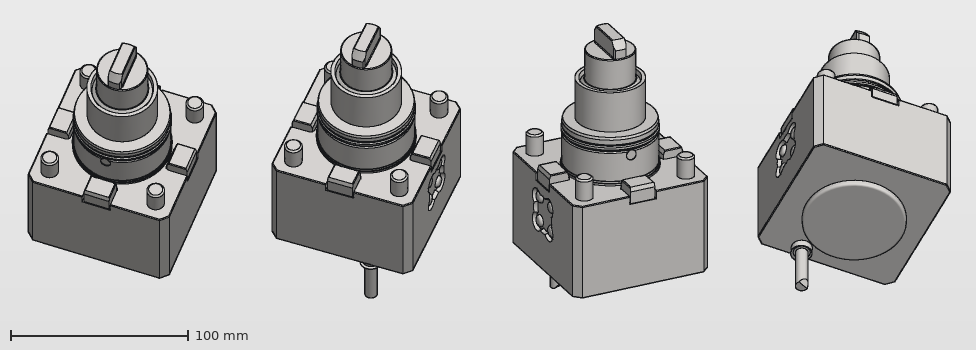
import cadquery as cq
import math


block_side = 85.0
block_height = 57.8
block_corner = 4.3
block_edge = 0.5

foot_radius = 28.3
foot_height = 1.2
foot_step_radius = 27.8
foot_step_height = 2.5
body_radius = 27.5
groove_radius = 26.4
groove_bottom = 78.5
groove_top = 83.1
groove_chamfer = 0.7
disc_top = 87.6
disc_chamfer = 0.5
disc_chamfer_height = 1.5
seal_radius = 28.0
seal_height = 2.8
seal_chamfer = 0.7

sleeve_radius = 20.0
sleeve_top = 112.3
dish_radius = 17.8
dish_floor_radius = 17.0
dish_depth = 2.6
lip_radius = 15.0
lip_drop = 0.5
shaft_radius = 14.5
shaft_top = 130.2
shaft_chamfer = 0.5

blade_top = 141.0
blade_width = 8.0
blade_radius = shaft_radius - shaft_chamfer
blade_top_radius = 10.7
blade_slope_height = 5.3
blade_side_length = 24.3
blade_end_width = 6.5
blade_edge = 0.5

hole_diameter = 6.0
hole_level = 75.4
hole_depth = 0.5

key_width = 15.2
key_outer = 42.0
key_outer_top = 41.0
key_inner = 29.7
key_inner_top = 30.7
key_rise = 5.0
key_slope_height = 2.6
key_edge = 0.5
key_seat_width = 16.9
key_seat_inner = 28.8
key_seat_depth = 5.0
key_seat_corner = 2.6

screw_diameter = 10.0
screw_spacing = 63.8
screw_rise = 13.0
screw_root = 1.7
screw_chamfer = 1.0

connector_level = 34.8
connector_center_radius = 11.5
lobe_radius = 5.7
contact_spacing = 15.0
recess_depth = 2.5
recess_slope = 0.7
contact_radius = 3.6
contact_tip_radius = 1.7
contact_root = 1.7

neck_radius = 24.7
neck_height = 3.1
cap_radius = 29.5
cap_bottom = -6.7
cap_round = 1.4

cable_radius = 3.6
cable_x = -16.4
cable_y = 35.7
cable_bottom = -31.5
cable_cut_offset = 1.0
cable_cut_height = 3.0
cable_cut_turn = 24
gland_radius = 6.0
gland_height = 4.0
washer_radius = 6.0
washer_thickness = 0.3
washer_shift = 0.7


def revolve(points):
    """Solid of revolution about Z from (radius, z) points."""
    return cq.Workplane("XZ").polyline(points).close().revolve(360, (0, 0, 0), (0, 1, 0))


def make_block():
    return (
        cq.Workplane("XY")
        .box(block_side, block_side, block_height, centered=(True, True, False))
        .edges("|Z").chamfer(block_corner)
        .faces("<Z or >Z").edges().chamfer(block_edge)
    )


def make_turned_body():
    return revolve([
        (0, 0),
        (foot_radius, 0),
        (foot_radius, block_height + foot_height),
        (foot_step_radius, block_height + foot_height),
        (foot_step_radius, block_height + foot_step_height),
        (body_radius, block_height + foot_step_height),
        (body_radius, groove_bottom - groove_chamfer),
        (body_radius - groove_chamfer, groove_bottom),
        (groove_radius, groove_bottom),
        (groove_radius, groove_top),
        (body_radius, groove_top),
        (body_radius, disc_top - disc_chamfer_height),
        (body_radius - disc_chamfer, disc_top),
        (sleeve_radius, disc_top),
        (sleeve_radius, sleeve_top),
        (dish_radius, sleeve_top),
        (dish_floor_radius, sleeve_top - dish_depth),
        (lip_radius, sleeve_top - lip_drop),
        (shaft_radius, sleeve_top - lip_drop),
        (shaft_radius, shaft_top - shaft_chamfer),
        (shaft_radius - shaft_chamfer, shaft_top),
        (0, shaft_top),
    ])


def make_seal():
    """Chamfered sealing ring in the middle of the groove."""
    middle = (groove_bottom + groove_top) / 2
    return (
        cq.Workplane("XY", origin=(0, 0, middle - seal_height / 2))
        .circle(seal_radius)
        .extrude(seal_height)
        .edges().chamfer(seal_chamfer)
    )


def make_blade():
    """Common volume of the blade's cross-section, its plan and a bevelled round."""
    height = blade_top - shaft_top
    half = blade_width / 2
    section = (
        cq.Workplane("XZ", origin=(0, 0, shaft_top))
        .moveTo(half + blade_edge, 0)
        .lineTo(half, blade_edge)
        .lineTo(half, height - blade_edge)
        .lineTo(half - blade_edge, height)
        .lineTo(0, height)
        .lineTo(0, 0)
        .close()
        .extrude(blade_radius, both=True)
    )
    section = section.union(section.mirror("YZ"))
    bevelled_round = revolve([
        (0, shaft_top),
        (blade_radius, shaft_top),
        (blade_radius, blade_top - blade_slope_height),
        (blade_top_radius, blade_top),
        (0, blade_top),
    ])

    wide = half + blade_edge
    side_end = blade_side_length / 2
    end_half = blade_end_width / 2
    end_y = math.sqrt(blade_radius ** 2 - end_half ** 2)
    run = (end_y - side_end) / (half - end_half)
    plan = (
        cq.Workplane("XY", origin=(0, 0, shaft_top))
        .polyline([
            (wide, 0),
            (wide, side_end - blade_edge * run),
            (end_half, end_y),
            (end_half, blade_radius),
            (0, blade_radius),
            (0, 0),
        ])
        .close()
        .extrude(height)
    )
    plan = plan.union(plan.mirror("YZ"))
    plan = plan.union(plan.mirror("XZ"))
    return section.intersect(bevelled_round).intersect(plan)


def make_radial_hole():
    return (
        cq.Workplane("XZ", origin=(0, -body_radius + hole_depth, hole_level))
        .circle(hole_diameter / 2)
        .extrude(2 * hole_depth)
    )


def make_key_seat():
    """Slot for a key, open through the +X side and the top of the block."""
    length = block_side / 2 - key_seat_inner
    return (
        cq.Workplane("XY", origin=(key_seat_inner, 0, block_height - key_seat_depth))
        .box(length, key_seat_width, key_seat_depth, centered=(False, True, False))
        .edges("|Z and <X").fillet(key_seat_corner)
    )


def make_key():
    """Key on the +X side with sloped inner and outer ends."""
    bottom = block_height - key_seat_depth
    top = block_height + key_rise
    shoulder = top - key_slope_height
    return (
        cq.Workplane("XZ")
        .polyline([
            (key_inner, bottom),
            (key_outer, bottom),
            (key_outer, shoulder),
            (key_outer_top, top),
            (key_inner_top, top),
            (key_inner, shoulder),
        ])
        .close()
        .extrude(key_width / 2, both=True)
        .faces(">Z").edges("|X").chamfer(key_edge)
    )


def make_screws():
    return (
        cq.Workplane("XY", origin=(0, 0, block_height - screw_root))
        .rect(screw_spacing, screw_spacing, forConstruction=True)
        .vertices()
        .circle(screw_diameter / 2)
        .extrude(screw_rise + screw_root)
        .faces(">Z").edges().chamfer(screw_chamfer)
    )


def make_connector_recess():
    """Round recess with four corner lobes, tapering towards its floor."""
    face = cq.Workplane("YZ", origin=(-block_side / 2, 0, connector_level))
    taper = math.degrees(math.atan2(recess_slope, recess_depth))
    recess = face.circle(connector_center_radius).extrude(recess_depth, taper=taper)
    lobes = (
        face.rect(contact_spacing, contact_spacing, forConstruction=True)
        .vertices()
        .circle(lobe_radius)
        .extrude(recess_depth, taper=taper)
    )
    return recess.union(lobes)


def make_contact(y, z):
    """Domed contact with a flat tip, standing on the recess floor."""
    bulge = contact_radius - contact_tip_radius
    bulge_mid = bulge * math.sqrt(0.5)
    floor_x = recess_depth - block_side / 2
    dome = (
        cq.Workplane("XY")
        .moveTo(contact_root, 0)
        .lineTo(contact_root, contact_radius)
        .lineTo(0, contact_radius)
        .threePointArc(
            (-bulge_mid, contact_tip_radius + bulge_mid),
            (-bulge, contact_tip_radius),
        )
        .lineTo(-bulge, 0)
        .close()
        .revolve(360, (0, 0, 0), (1, 0, 0))
    )
    return dome.translate((floor_x, y, z))


def make_cap():
    """Round cap with a rounded lower rim, joined to the block by a neck."""
    neck = cq.Workplane("XY").circle(neck_radius).extrude(-neck_height)
    cap = (
        cq.Workplane("XY", origin=(0, 0, cap_bottom))
        .circle(cap_radius)
        .extrude(-neck_height - cap_bottom)
        .faces("<Z").edges().fillet(cap_round)
    )
    return neck.union(cap)


def make_cable():
    """Cable with its end cut off at an angle, on the local Z axis."""
    cable = cq.Workplane("XY").circle(cable_radius).extrude(cable_bottom)
    cut = (
        cq.Workplane("XZ", origin=(0, 0, cable_bottom))
        .polyline([(cable_cut_offset, 0), (cable_radius, cable_cut_height), (cable_radius, 0)])
        .close()
        .extrude(cable_radius, both=True)
        .rotate((0, 0, 0), (0, 0, 1), cable_cut_turn - 90)
    )
    return cable.cut(cut)


def make_gland():
    """Truncated ball and thin offset washer around the cable, on the local Z axis."""
    ball = cq.Workplane("XY").sphere(gland_radius)
    slab = cq.Workplane("XY").circle(gland_radius).extrude(-gland_height)
    washer = (
        cq.Workplane("XY", origin=(0, washer_shift, -gland_height))
        .circle(washer_radius)
        .extrude(washer_thickness)
    )
    return ball.intersect(slab).union(washer)


result = make_block()
for quarter in range(4):
    result = result.cut(make_key_seat().rotate((0, 0, 0), (0, 0, 1), 90 * quarter))
for quarter in range(4):
    result = result.union(make_key().rotate((0, 0, 0), (0, 0, 1), 90 * quarter))

result = result.union(make_turned_body()).union(make_seal()).union(make_blade())
result = result.cut(make_radial_hole())
result = result.union(make_screws()).union(make_cap())
result = result.union(make_gland().union(make_cable()).translate((cable_x, cable_y, 0)))

result = result.cut(make_connector_recess())
for y_sign in (-1, 1):
    for z_sign in (-1, 1):
        contact_y = y_sign * contact_spacing / 2
        contact_z = connector_level + z_sign * contact_spacing / 2
        result = result.union(make_contact(contact_y, contact_z))